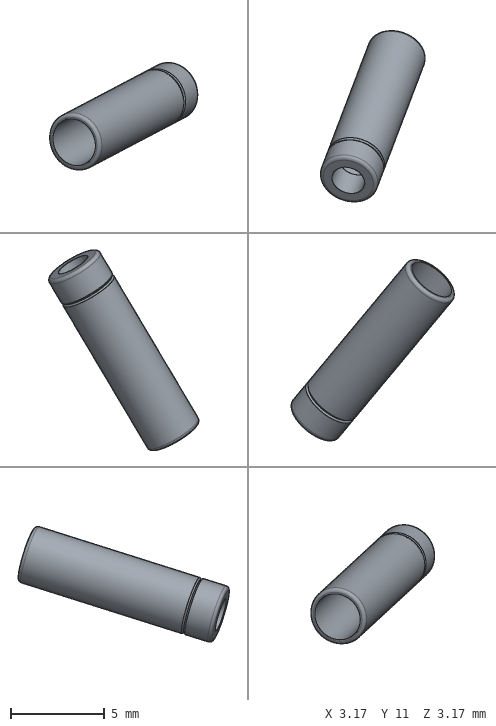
import cadquery as cq

length = 11.0
outer_diameter = 3.17
bore_diameter = 2.6
end_hole_diameter = 1.8
end_fillet = 0.2
groove_width = 0.2
groove_depth = 0.1
groove_center_from_back = 1.6

outer_radius = outer_diameter / 2
mouth_y = -length / 2
back_y = length / 2
groove_y = back_y - groove_center_from_back
bore_depth = groove_y - mouth_y


def cylinder_from_mouth(diameter, depth):
    """Cylinder on the Y axis, running from the mouth plane towards +Y."""
    mouth_plane = cq.Workplane("XZ", origin=(0, mouth_y, 0))
    return mouth_plane.circle(diameter / 2).extrude(-depth)


def groove_cutter():
    """Ring of V-shaped section around the outside of the tube."""
    half_width = groove_width / 2
    section = cq.Workplane("XY").polyline([
        (outer_radius, groove_y - half_width),
        (outer_radius - groove_depth, groove_y),
        (outer_radius, groove_y + half_width),
    ]).close()
    return section.revolve(360, (0, 0, 0), (0, 1, 0))


body = cylinder_from_mouth(outer_diameter, length).edges("%CIRCLE").fillet(end_fillet)

body = body.cut(cylinder_from_mouth(bore_diameter, bore_depth))
body = body.cut(cylinder_from_mouth(end_hole_diameter, length))

result = body.cut(groove_cutter())